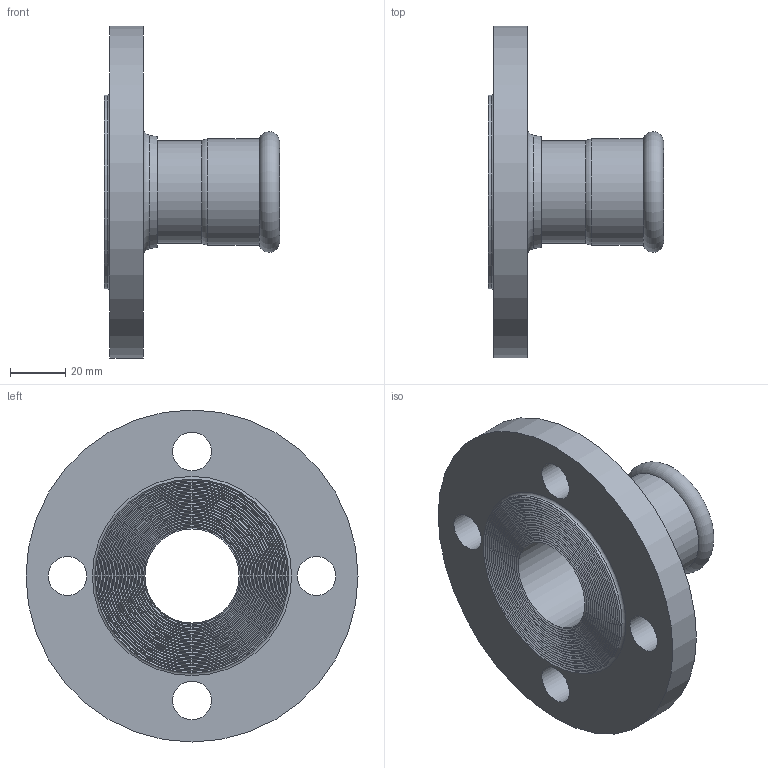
import cadquery as cq
import math


flange_radius = 120 / 2
flange_thickness = 12.0
bolt_hole_diameter = 14.0
bolt_circle_radius = 45.0
bolt_hole_count = 4

raised_face_radius = 70 / 2
raised_face_height = 2.0
raised_face_fillet = 1.0
groove_pitch = 1.0
groove_depth = 0.5

hub_fillet = 2.8
hub_taper = math.radians(10)
hub_end_radius = 20.0
hub_end_x = 19.1

tube_radius = 37 / 2
tube_bore_radius = 34 / 2
socket_radius = 38.4 / 2
socket_bore_radius = 35.4 / 2
tube_end_x = 35.2
shoulder_length = 2.1

overall_length = 63.3
bead_section_radius = 3.75
bead_radius = 21.8

flange_front_x = raised_face_height
flange_back_x = flange_front_x + flange_thickness
socket_start_x = tube_end_x + shoulder_length
bead_center_x = overall_length - bead_section_radius
bead_center_radius = bead_radius - bead_section_radius


def arc_point(center_x, center_radius, section_radius, angle):
    """Point on a circle in the profile plane; the angle is measured from +X."""
    return (
        center_x + section_radius * math.cos(angle),
        center_radius + section_radius * math.sin(angle),
    )


def add_raised_face(profile):
    """Side of the sealing face, blended into the flange by a concave fillet."""
    center_x = flange_front_x - raised_face_fillet
    center_radius = raised_face_radius + raised_face_fillet
    middle = arc_point(center_x, center_radius, raised_face_fillet, math.radians(-45))
    return (
        profile.lineTo(0, raised_face_radius)
        .lineTo(center_x, raised_face_radius)
        .threePointArc(middle, (flange_front_x, center_radius))
    )


def add_hub(profile):
    """Concave fillet off the flange, tangent to a cone that tapers to the hub end."""
    center_x = flange_back_x + hub_fillet
    cone_normal = math.radians(-90) - hub_taper
    tangent_x = center_x + hub_fillet * math.cos(cone_normal)
    tangent_radius = hub_end_radius + (hub_end_x - tangent_x) * math.tan(hub_taper)
    center_radius = tangent_radius - hub_fillet * math.sin(cone_normal)
    middle_angle = (math.radians(-180) + cone_normal) / 2
    middle = arc_point(center_x, center_radius, hub_fillet, middle_angle)
    return (
        profile.lineTo(flange_back_x, center_radius)
        .threePointArc(middle, (tangent_x, tangent_radius))
        .lineTo(hub_end_x, hub_end_radius)
    )


def add_shoulder(profile):
    """Convex arc that widens the tube and runs tangent into the socket."""
    rise = socket_radius - tube_radius
    arc_radius = (shoulder_length**2 + rise**2) / (2 * rise)
    half_sweep = math.asin(shoulder_length / arc_radius) / 2
    middle = arc_point(
        socket_start_x, socket_radius - arc_radius, arc_radius, math.radians(90) + half_sweep
    )
    return (
        profile.lineTo(tube_end_x, tube_radius)
        .threePointArc(middle, (socket_start_x, socket_radius))
    )


def add_bead(profile):
    """Round bead from the socket wall over the crown to the open end."""
    foot_angle = math.pi - math.asin((socket_radius - bead_center_radius) / bead_section_radius)
    foot = arc_point(bead_center_x, bead_center_radius, bead_section_radius, foot_angle)
    return (
        profile.lineTo(*foot)
        .threePointArc((bead_center_x, bead_radius), (overall_length, bead_center_radius))
        .lineTo(overall_length, socket_bore_radius)
    )


def make_body():
    """Half-section of the whole part, revolved about the X axis."""
    profile = cq.Workplane("XZ").moveTo(0, tube_bore_radius)
    profile = add_raised_face(profile)
    profile = profile.lineTo(flange_front_x, flange_radius)
    profile = profile.lineTo(flange_back_x, flange_radius)
    profile = add_hub(profile)
    profile = profile.lineTo(hub_end_x, tube_radius)
    profile = add_shoulder(profile)
    profile = add_bead(profile)
    profile = profile.lineTo(socket_start_x, socket_bore_radius)
    profile = profile.lineTo(socket_start_x, tube_bore_radius)
    return profile.close().revolve(360, (0, 0, 0), (1, 0, 0))


def make_face_grooves():
    """Concentric V-grooves that cover the sealing face edge to edge."""
    groove_count = round((raised_face_radius - tube_bore_radius) / groove_pitch)
    profile = cq.Workplane("XZ").moveTo(-groove_depth, tube_bore_radius).lineTo(0, tube_bore_radius)
    for index in range(groove_count):
        inner_radius = tube_bore_radius + index * groove_pitch
        profile = profile.lineTo(groove_depth, inner_radius + groove_pitch / 2)
        profile = profile.lineTo(0, inner_radius + groove_pitch)
    profile = profile.lineTo(-groove_depth, raised_face_radius)
    return profile.close().revolve(360, (0, 0, 0), (1, 0, 0))


def make_bolt_holes():
    """Cylinders through the flange on the bolt circle."""
    return (
        cq.Workplane("YZ", origin=(flange_front_x, 0, 0))
        .polarArray(bolt_circle_radius, 0, 360, bolt_hole_count)
        .circle(bolt_hole_diameter / 2)
        .extrude(flange_thickness)
    )


result = make_body().cut(make_face_grooves()).cut(make_bolt_holes())